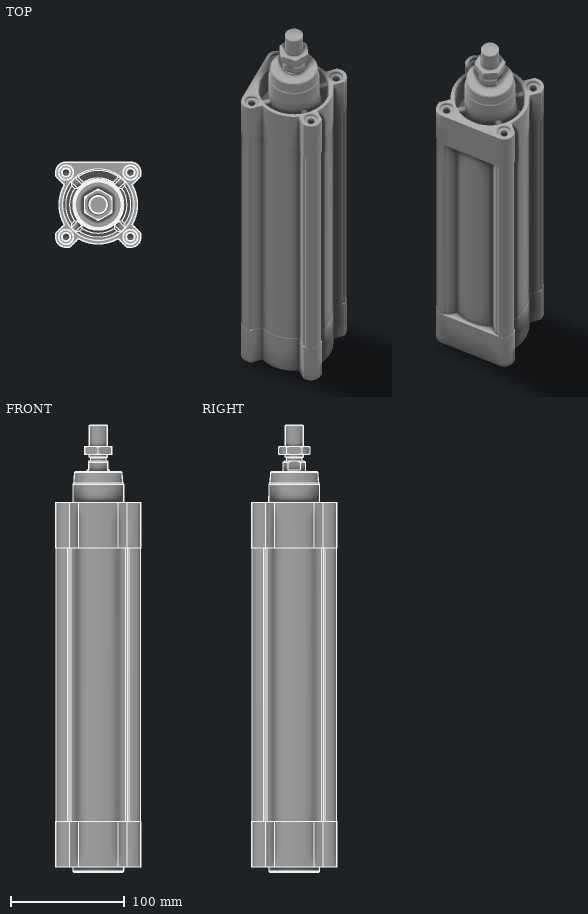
import cadquery as cq
import math

TOTAL_HEIGHT = 393.0
SPIGOT_HEIGHT = 4.7
CAP_HEIGHT = 40.0
BODY_TOP = 325.0
COLLAR_FOOT = 352.2
NUT_BOTTOM = 367.0
NUT_HEIGHT = 7.0

BODY_WIDTH = 75.0
LUG_SPACING = 56.5
CAP_TUBE_RADIUS = 34.5
BARREL_TUBE_RADIUS = 34.2
WEB_EDGE = 25.0
BARREL_INSET = 0.25
BARREL_WEB_INSET = 0.5
BARREL_LEDGE = 35.8
BARREL_LEDGE_START = 25.5
BARREL_LUG_EDGE = 27.0
WEB_FILLET = 2.0

NECK_DIAMETER = 45.0
NECK_CYLINDER_TOP = 341.0
NECK_SHOULDER = 1.0
NECK_TAPER_BASE_DIAMETER = 43.2
NECK_TAPER_TOP_DIAMETER = 41.5
NECK_TOP_CHAMFER = 0.8
SPIGOT_CHAMFER = 1.0

POCKET_OUTER_DIAMETER = 63.0
POCKET_DEPTH = 23.5
POCKET_DRAFT = 7.0
FLAT_SIDE_DRAFT = 3.0
NECK_DRAFT_START = 1.5
RIB_WIDTH = 5.0
RIB_DROP = 5.0
RIB_CROWN = 1.0

SCREW_MOUTH_DIAMETER = 13.5
SCREW_RECESS_DIAMETER = 12.0
SCREW_RECESS_DEPTH = 2.5
SCREW_THREAD_DIAMETER = 8.0
SCREW_CORE_DIAMETER = 6.5
SCREW_HOLE_DEPTH = 23.5
DRILL_TIP_ANGLE = 118.0

COLLAR_DIAMETER = 20.0
COLLAR_FLATS = 17.0
COLLAR_TOP = 361.5
COLLAR_CHAMFER = 1.5
COLLAR_ROUND_FOOT = 1.0
UNDERCUT_DIAMETER = 13.8
UNDERCUT_TOP = 364.0
THREAD_DIAMETER = 16.0
TIP_DIAMETER = 15.0
NUT_FLATS = 24.0
NUT_CHAMFER_DIAMETER = 25.0
NUT_CHAMFER_ANGLE = 30.0

LUG_CENTRE = LUG_SPACING / 2
CAP_LUG_RADIUS = BODY_WIDTH / 2 - LUG_CENTRE
BARREL_LUG_RADIUS = CAP_LUG_RADIUS - BARREL_INSET
WEB_OFFSET = BODY_WIDTH / 2 - WEB_EDGE
BARREL_WEB_OFFSET = WEB_OFFSET - BARREL_WEB_INSET
FRONT_CAP_BOTTOM = BODY_TOP - CAP_HEIGHT
REAR_CAP_TOP = SPIGOT_HEIGHT + CAP_HEIGHT
QUARTER_TURNS = (0, 90, 180, 270)


def around_axis(shape):
    """Four copies of a shape, a quarter turn apart about Z."""
    return [shape.rotate((0, 0, 0), (0, 0, 1), angle) for angle in QUARTER_TURNS]


def cylinder(diameter, bottom, top):
    return cq.Workplane("XY").workplane(offset=bottom).circle(diameter / 2).extrude(top - bottom)


def revolve(points):
    """Solid of revolution about Z from (radius, z) points that start and end on the axis."""
    return cq.Workplane("XZ").polyline(points).close().revolve(360, (0, 0, 0), (0, 1, 0))


def cap_lug(height):
    """Lug in the (+X, +Y) corner with its web, standing on z = 0."""
    half = BODY_WIDTH / 2
    diagonal = CAP_LUG_RADIUS / math.sqrt(2)
    return (
        cq.Workplane("XY")
        .moveTo(WEB_OFFSET, 0)
        .lineTo(half, WEB_EDGE)
        .lineTo(half, LUG_CENTRE)
        .threePointArc((LUG_CENTRE + diagonal, LUG_CENTRE + diagonal), (LUG_CENTRE, half))
        .lineTo(WEB_EDGE, half)
        .lineTo(0, WEB_OFFSET)
        .close()
        .extrude(height)
    )


def cap(bottom):
    """End cap: round tube with four lugs, filled out to a flat face on +Y."""
    body = cylinder(2 * CAP_TUBE_RADIUS, 0, CAP_HEIGHT)
    for lug in around_axis(cap_lug(CAP_HEIGHT)):
        body = body.union(lug)
    flat_side = cq.Workplane("XY").box(
        LUG_SPACING, BODY_WIDTH / 2, CAP_HEIGHT, centered=(True, False, False)
    )
    return body.union(flat_side).translate((0, 0, bottom))


def barrel_lug(height):
    """Slightly smaller lug whose web is set back behind a small ledge on both sides."""
    tip_rise = math.sqrt(BARREL_LUG_RADIUS**2 - (LUG_CENTRE - BARREL_LUG_EDGE) ** 2)
    diagonal = BARREL_LUG_RADIUS / math.sqrt(2)
    ledge_end = BARREL_LEDGE - BARREL_WEB_OFFSET
    return (
        cq.Workplane("XY")
        .moveTo(BARREL_WEB_OFFSET, 0)
        .lineTo(BARREL_LEDGE, ledge_end)
        .lineTo(BARREL_LEDGE, BARREL_LEDGE_START)
        .lineTo(LUG_CENTRE + tip_rise, BARREL_LUG_EDGE)
        .threePointArc(
            (LUG_CENTRE + diagonal, LUG_CENTRE + diagonal),
            (BARREL_LUG_EDGE, LUG_CENTRE + tip_rise),
        )
        .lineTo(BARREL_LEDGE_START, BARREL_LEDGE)
        .lineTo(ledge_end, BARREL_LEDGE)
        .lineTo(0, BARREL_WEB_OFFSET)
        .close()
        .extrude(height)
    )


def barrel():
    """Round tube with four lugs, filleted where the webs meet the tube."""
    height = FRONT_CAP_BOTTOM - REAR_CAP_TOP
    body = cylinder(2 * BARREL_TUBE_RADIUS, 0, height)
    for lug in around_axis(barrel_lug(height)):
        body = body.union(lug)
    near = (math.sqrt(2 * BARREL_TUBE_RADIUS**2 - BARREL_WEB_OFFSET**2) - BARREL_WEB_OFFSET) / 2
    far = near + BARREL_WEB_OFFSET
    for corner in [(near, far), (far, near)]:
        for side_x in (1, -1):
            for side_y in (1, -1):
                middle = (side_x * corner[0], side_y * corner[1], height / 2)
                body = body.edges(cq.selectors.NearestToPointSelector(middle)).fillet(WEB_FILLET)
    return body.translate((0, 0, REAR_CAP_TOP))


def neck():
    """Bearing neck that carries the rod: a cylinder, a small shoulder and a slight taper."""
    radius = NECK_DIAMETER / 2
    taper_base = NECK_TAPER_BASE_DIAMETER / 2
    taper_top = NECK_TAPER_TOP_DIAMETER / 2
    return revolve([
        (0, FRONT_CAP_BOTTOM),
        (radius, FRONT_CAP_BOTTOM),
        (radius, NECK_CYLINDER_TOP),
        (taper_base, NECK_CYLINDER_TOP + NECK_SHOULDER),
        (taper_top, COLLAR_FOOT - NECK_TOP_CHAMFER),
        (taper_top - NECK_TOP_CHAMFER, COLLAR_FOOT),
        (0, COLLAR_FOOT),
    ])


def spigot():
    """Centring spigot under the rear cap."""
    return cylinder(NECK_DIAMETER, 0, SPIGOT_HEIGHT).faces("<Z").chamfer(SPIGOT_CHAMFER)


def annular_pocket(draft_angle):
    """Ring-shaped pocket around the neck, with both walls drafted so that it narrows downwards."""
    slope = math.tan(math.radians(draft_angle))
    outer = POCKET_OUTER_DIAMETER / 2
    inner = NECK_DIAMETER / 2
    floor = BODY_TOP - POCKET_DEPTH
    profile = [
        (inner, BODY_TOP),
        (inner, BODY_TOP - NECK_DRAFT_START),
        (inner + slope * (POCKET_DEPTH - NECK_DRAFT_START), floor),
        (outer - slope * POCKET_DEPTH, floor),
        (outer, BODY_TOP),
    ]
    return cq.Workplane("XZ").polyline(profile).close().revolve(360, (0, 0, 0), (0, 1, 0))


def flat_side_quarter():
    """Quarter of the front cap around +Y."""
    reach = BODY_WIDTH
    return (
        cq.Workplane("XY")
        .workplane(offset=FRONT_CAP_BOTTOM)
        .polyline([(0, 0), (reach, reach), (-reach, reach)])
        .close()
        .extrude(CAP_HEIGHT)
    )


def rib():
    """Rib along +X across the pocket, drafted on both flanks and crowned along its top."""
    crest = BODY_TOP - RIB_DROP
    shoulder = crest - RIB_CROWN
    floor = BODY_TOP - POCKET_DEPTH
    half_top = RIB_WIDTH / 2
    half_base = half_top + math.tan(math.radians(POCKET_DRAFT)) * (shoulder - floor)
    return (
        cq.Workplane("YZ")
        .moveTo(-half_base, floor)
        .lineTo(half_base, floor)
        .lineTo(half_top, shoulder)
        .threePointArc((0, crest), (-half_top, shoulder))
        .close()
        .extrude(CAP_TUBE_RADIUS)
    )


def pockets():
    """The ring-shaped pocket, parted by four diagonal ribs."""
    drafted = annular_pocket(POCKET_DRAFT).cut(flat_side_quarter())
    steep = annular_pocket(FLAT_SIDE_DRAFT).intersect(flat_side_quarter())
    space = drafted.union(steep)
    for one_rib in around_axis(rib().rotate((0, 0, 0), (0, 0, 1), 45)):
        space = space.cut(one_rib)
    return space


def screw_hole():
    """Stepped screw hole with a drilled tip, cut down from the top of a lug."""
    tip = SCREW_CORE_DIAMETER / 2 / math.tan(math.radians(DRILL_TIP_ANGLE / 2))
    bottom = BODY_TOP - SCREW_HOLE_DEPTH
    ledge = BODY_TOP - SCREW_RECESS_DEPTH
    chamfer = (SCREW_THREAD_DIAMETER - SCREW_CORE_DIAMETER) / 2
    mouth_chamfer = (SCREW_MOUTH_DIAMETER - SCREW_RECESS_DIAMETER) / 2
    return revolve([
        (0, bottom - tip),
        (SCREW_CORE_DIAMETER / 2, bottom),
        (SCREW_CORE_DIAMETER / 2, ledge - chamfer),
        (SCREW_THREAD_DIAMETER / 2, ledge),
        (SCREW_RECESS_DIAMETER / 2, ledge),
        (SCREW_RECESS_DIAMETER / 2, BODY_TOP - mouth_chamfer),
        (SCREW_MOUTH_DIAMETER / 2, BODY_TOP),
        (0, BODY_TOP),
    ]).translate((LUG_CENTRE, LUG_CENTRE, 0))


def make_housing():
    front_cap = cap(FRONT_CAP_BOTTOM).cut(pockets())
    for hole in around_axis(screw_hole()):
        front_cap = front_cap.cut(hole)
    return front_cap.union(neck()).union(barrel()).union(cap(SPIGOT_HEIGHT)).union(spigot())


def make_rod():
    """Rod end: collar with two spanner flats, undercut and threaded stud."""
    thread = THREAD_DIAMETER / 2
    undercut = UNDERCUT_DIAMETER / 2
    tip_chamfer = thread - TIP_DIAMETER / 2
    stud = revolve([
        (0, COLLAR_TOP),
        (undercut, COLLAR_TOP),
        (undercut, UNDERCUT_TOP),
        (thread, UNDERCUT_TOP + thread - undercut),
        (thread, TOTAL_HEIGHT - tip_chamfer),
        (thread - tip_chamfer, TOTAL_HEIGHT),
        (0, TOTAL_HEIGHT),
    ])
    collar = cylinder(COLLAR_DIAMETER, COLLAR_FOOT, COLLAR_TOP).faces(">Z").chamfer(COLLAR_CHAMFER)
    flats = cq.Workplane("XY").box(
        COLLAR_FLATS, COLLAR_DIAMETER, COLLAR_TOP - COLLAR_FOOT, centered=(True, True, False)
    )
    foot = cylinder(COLLAR_DIAMETER, 0, COLLAR_ROUND_FOOT)
    keep = flats.union(foot).translate((0, 0, COLLAR_FOOT))
    return stud.union(collar.intersect(keep))


def make_nut():
    """Hexagon lock nut with two flats square to X."""
    across_corners = NUT_FLATS / math.cos(math.pi / 6)
    blank = (
        cq.Workplane("XY")
        .workplane(offset=NUT_BOTTOM)
        .transformed(rotate=(0, 0, 30))
        .polygon(6, across_corners)
        .circle(THREAD_DIAMETER / 2)
        .extrude(NUT_HEIGHT)
    )
    top = NUT_BOTTOM + NUT_HEIGHT
    chamfer_radius = NUT_CHAMFER_DIAMETER / 2
    corner_radius = across_corners / 2
    drop = (corner_radius - chamfer_radius) * math.tan(math.radians(NUT_CHAMFER_ANGLE))
    envelope = revolve([
        (0, NUT_BOTTOM),
        (chamfer_radius, NUT_BOTTOM),
        (corner_radius, NUT_BOTTOM + drop),
        (corner_radius, top - drop),
        (chamfer_radius, top),
        (0, top),
    ])
    return blank.intersect(envelope)


housing = make_housing()
rod = make_rod()
nut = make_nut()

result = cq.Compound.makeCompound([housing.val(), rod.val(), nut.val()])